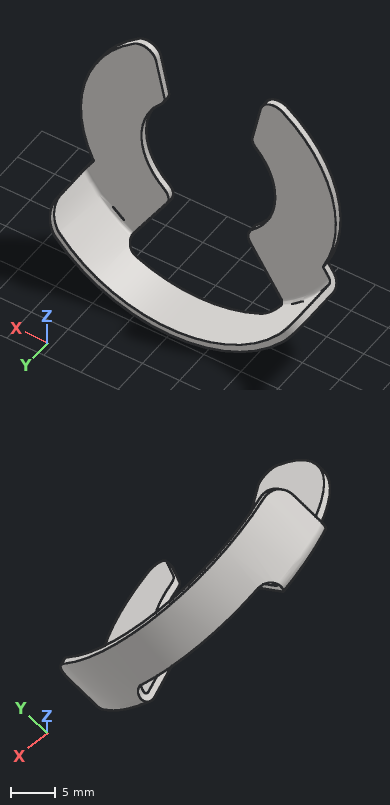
import cadquery as cq
import math

sheet = 1.0
bore_radius = 9.0
arm_radius = 17.2
band_radius = 20.03
depth = 9.0
bend_radius = 1.5
inner_bend_radius = bend_radius - sheet

mouth_half_width = 4.3
mouth_angle = 12.0
tip_radius = 1.93
mouth_corner_radius = 1.5
foot_corner_radius = 1.72

tab_angle = 32.1
tab_width = 9.12
band_front = 3.0
relief_radius = 2.0
end_radius = 3.0

tab_x = -math.sin(math.radians(tab_angle))
tab_z = -math.cos(math.radians(tab_angle))

diagonal = math.sqrt(0.5)


def mouth_point(radius):
    """Point where the left mouth edge crosses a circle about the centre."""
    angle = math.radians(mouth_angle)
    normal_distance = mouth_half_width * math.cos(angle)
    polar = math.pi + angle - math.acos(normal_distance / radius)
    return radius * math.cos(polar), radius * math.sin(polar)


def make_arm():
    """Flat left arm, an annular segment with three rounded corners."""
    bore_mouth = mouth_point(bore_radius)
    tip = mouth_point(arm_radius)
    arm_foot = (arm_radius * tab_x, arm_radius * tab_z)
    bore_foot = (bore_radius * tab_x, bore_radius * tab_z)
    arm = (
        cq.Workplane("XZ")
        .moveTo(*tip)
        .threePointArc((-arm_radius, 0), arm_foot)
        .lineTo(*bore_foot)
        .threePointArc((-bore_radius, 0), bore_mouth)
        .close()
        .extrude(-sheet)
    )
    for corner, radius in (
        (tip, tip_radius),
        (bore_mouth, mouth_corner_radius),
        (bore_foot, foot_corner_radius),
    ):
        edge = cq.selectors.NearestToPointSelector((corner[0], sheet / 2, corner[1]))
        arm = arm.edges("|Y").edges(edge).fillet(radius)
    return arm


def make_bent_rim():
    """Full ring of bent sheet: flat flange, bend and cylindrical wall."""
    flange_radius = arm_radius - sheet
    bend_center = band_radius - bend_radius
    return (
        cq.Workplane("XY")
        .moveTo(flange_radius, 0)
        .lineTo(bend_center, 0)
        .threePointArc(
            (bend_center + bend_radius * diagonal, bend_radius * (1 - diagonal)),
            (band_radius, bend_radius),
        )
        .lineTo(band_radius, depth)
        .lineTo(band_radius - sheet, depth)
        .lineTo(band_radius - sheet, bend_radius)
        .threePointArc(
            (bend_center + inner_bend_radius * diagonal, bend_radius - inner_bend_radius * diagonal),
            (bend_center, sheet),
        )
        .lineTo(flange_radius, sheet)
        .close()
        .revolve(360, (0, 0, 0), (0, 1, 0))
    )


def make_rim_half():
    """Left half of the rim, trimmed to the tab and band outline."""
    plane = cq.Plane(origin=(0, 0, 0), xDir=(tab_z, 0, -tab_x), normal=(tab_x, 0, tab_z))
    trim = (
        cq.Workplane(plane)
        .moveTo(0, 0)
        .lineTo(tab_width, 0)
        .lineTo(tab_width, depth - end_radius)
        .threePointArc(
            (tab_width - end_radius * (1 - diagonal), depth - end_radius * (1 - diagonal)),
            (tab_width - end_radius, depth),
        )
        .lineTo(-band_radius, depth)
        .lineTo(-band_radius, band_front)
        .lineTo(-relief_radius, band_front)
        .threePointArc(
            (-relief_radius * (1 - diagonal), band_front - relief_radius * (1 - diagonal)),
            (0, band_front - relief_radius),
        )
        .close()
        .extrude(band_radius)
    )
    left_side = (
        cq.Workplane("XY")
        .box(band_radius, depth, 2 * band_radius, centered=(False, False, True))
        .translate((-band_radius, 0, 0))
    )
    return make_bent_rim().intersect(trim).intersect(left_side)


left_half = make_arm().union(make_rim_half())
result = left_half.union(left_half.mirror("YZ")).clean()